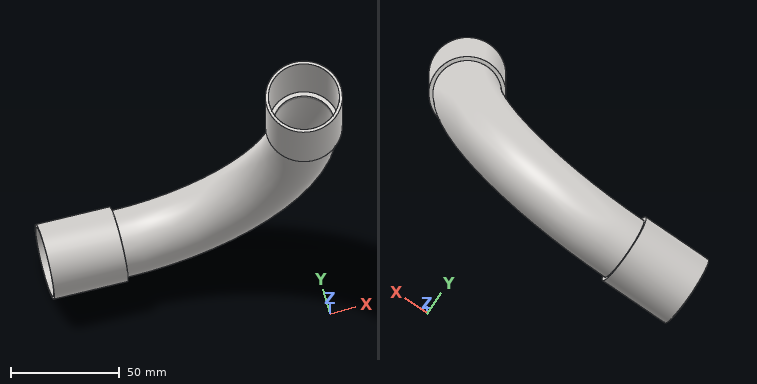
import cadquery as cq

overall_length = 140.6
socket_diameter = 35.5
socket_bore = 32.6
socket_length = 35.0
shoulder_thickness = 1.7

pipe_diameter = 31.6
pipe_bore = 28.4

half_length = overall_length / 2
axis_offset = half_length - socket_diameter / 2
bend_start = -half_length + socket_length
bend_radius = axis_offset - bend_start


def bent_rod(diameter):
    """Quarter-circle rod that joins the inner ends of the two sockets."""
    return (
        cq.Workplane("YZ", origin=(bend_start, 0, -axis_offset))
        .circle(diameter / 2)
        .revolve(90, (1.4, bend_radius, 0), (-1.4, bend_radius, 0))
    )


def socket_rods(diameter, length):
    """Straight rods reaching inward from the two open ends."""
    horizontal = (
        cq.Workplane("YZ", origin=(-half_length, 0, -axis_offset))
        .circle(diameter / 2)
        .extrude(length)
    )
    vertical = (
        cq.Workplane("XY", origin=(axis_offset, 0, half_length))
        .circle(diameter / 2)
        .extrude(-length)
    )
    return horizontal.union(vertical)


bore_depth = socket_length - shoulder_thickness

outside = bent_rod(pipe_diameter).union(socket_rods(socket_diameter, socket_length))
result = (
    outside.cut(bent_rod(pipe_bore))
    .cut(socket_rods(pipe_bore, socket_length))
    .cut(socket_rods(socket_bore, bore_depth))
)